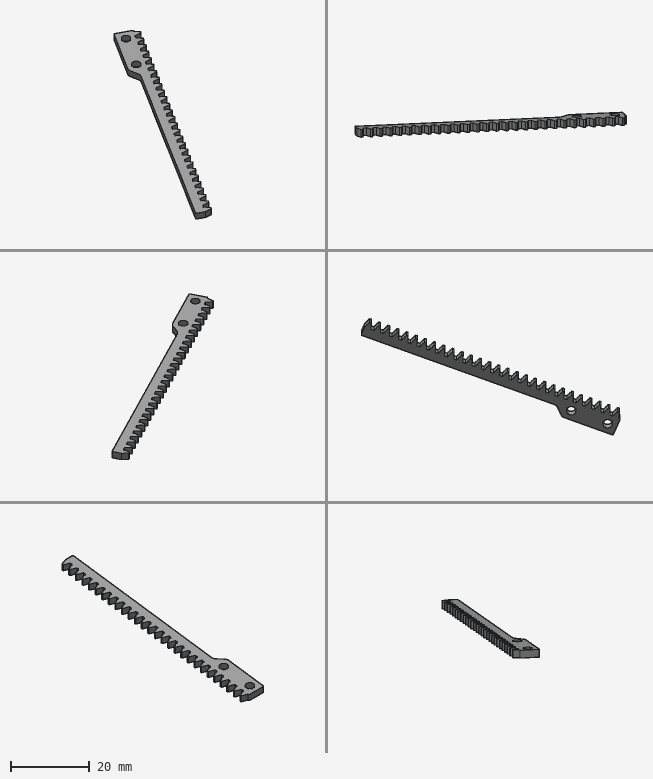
import cadquery as cq
import math

length = 70.0
width = 6.8
thickness = 2.0
root_height = 5.05
step_height = 2.5
corner_radius = 0.3

tooth_count = 28
first_tooth_x = 1.25
tooth_tip_width = 0.5
pressure_angle = 20.0
tooth_height = width - root_height
tooth_base_width = tooth_tip_width + 2 * tooth_height * math.tan(math.radians(pressure_angle))
last_tooth_x = length - tooth_base_width / 2
tooth_pitch = (last_tooth_x - first_tooth_x) / (tooth_count - 1)

slope_start_x = 14.0
slope_end_x = slope_start_x + step_height
slope_blend_radius = 1.5

hole_diameter = 2.4
hole_height = step_height
hole_positions_x = (2.5, 12.45)


def round_corner(body, x, y, radius):
    """Round the upright edge of the body that stands at (x, y)."""
    corner = cq.selectors.NearestToPointSelector((x, y, thickness / 2))
    return body.edges(corner).fillet(radius)


def make_bar():
    """Plate with a deep mounting pad on the left and a slender bar on the right."""
    bar = (
        cq.Workplane("XY")
        .lineTo(slope_start_x, 0)
        .lineTo(slope_end_x, step_height)
        .lineTo(length, step_height)
        .lineTo(length, root_height)
        .lineTo(0, root_height)
        .close()
        .extrude(thickness)
    )
    bar = round_corner(bar, 0, 0, corner_radius)
    bar = round_corner(bar, 0, root_height, corner_radius)
    bar = round_corner(bar, length, step_height, corner_radius)
    bar = round_corner(bar, slope_start_x, 0, slope_blend_radius)
    return round_corner(bar, slope_end_x, step_height, slope_blend_radius)


def make_teeth():
    """Row of straight-sided teeth standing on the gap floor line."""
    half_base = tooth_base_width / 2
    half_tip = tooth_tip_width / 2
    tooth = (
        cq.Workplane("XY")
        .moveTo(-half_base, 0)
        .lineTo(half_base, 0)
        .lineTo(half_tip, tooth_height)
        .lineTo(-half_tip, tooth_height)
        .close()
        .extrude(thickness)
        .val()
    )
    tooth_places = [(first_tooth_x + i * tooth_pitch, root_height) for i in range(tooth_count)]
    return cq.Workplane("XY").pushPoints(tooth_places).eachpoint(lambda place: tooth.moved(place))


def make_hole_cutters():
    hole_places = [(x, hole_height) for x in hole_positions_x]
    return cq.Workplane("XY").pushPoints(hole_places).circle(hole_diameter / 2).extrude(thickness)


result = make_bar().union(make_teeth()).cut(make_hole_cutters())